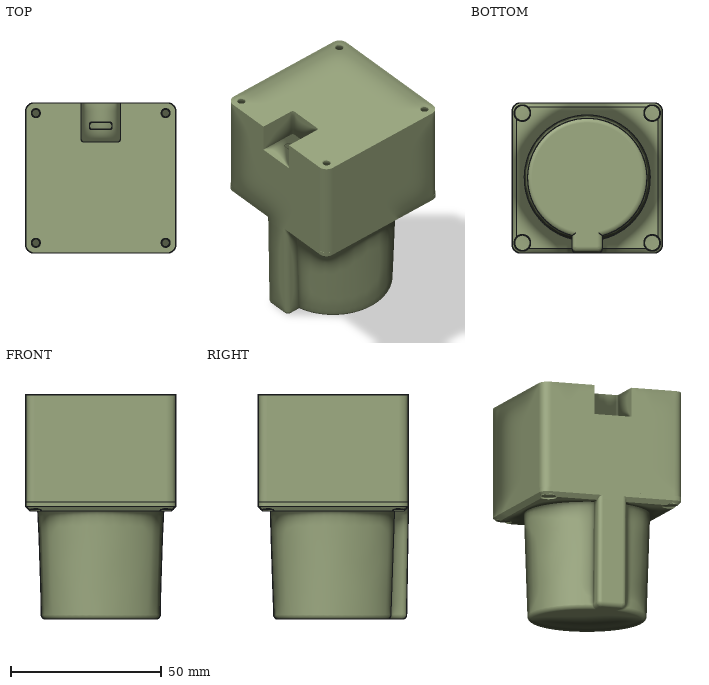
import cadquery as cq

WIDTH = 50.0
HEIGHT = 74.6

PLUG_LENGTH = 35.95
PLUG_TOP_RADIUS = 20.95
PLUG_BOTTOM_RADIUS = 19.8
PLUG_BOTTOM_FILLET = 1.5
PLATE_THICKNESS = 3.05
PLATE_CORNER_RADIUS = 2.8
PLATE_CHAMFER = 1.5

KEY_WIDTH = 10.0
KEY_TOP_REACH = WIDTH / 2
KEY_BOTTOM_REACH = 24.4
KEY_EDGE_RADIUS = 1.5

HOUSING_CORNER_RADIUS = 3.1

POCKET_WIDTH = 13.0
POCKET_LENGTH = 13.0
POCKET_DEPTH = 9.85
POCKET_CORNER_RADIUS = 0.75
SLOT_WIDTH = 7.6
SLOT_HEIGHT = 2.5
SLOT_CORNER_RADIUS = 0.9
SLOT_CENTER_Y = 17.3
CONNECTOR_CLEARANCE = 0.15
CONNECTOR_DEPTH = 4.5

SCREW_OFFSET = 21.55
SHANK_RADIUS = 1.3
SCREW_TIP_DEPTH = 4.5
SCREW_HOLE_CHAMFER = 0.2
COUNTERBORE_RADIUS = 2.75
COUNTERBORE_DEPTH = 2.0
HEAD_RADIUS = 2.5
HEAD_HEIGHT = 1.5

PLATE_BOTTOM = PLUG_LENGTH
PLATE_TOP = PLATE_BOTTOM + PLATE_THICKNESS
POCKET_FLOOR = HEIGHT - POCKET_DEPTH
HEAD_TOP = PLATE_BOTTOM + COUNTERBORE_DEPTH
SCREW_TIP = HEIGHT - SCREW_TIP_DEPTH

SCREW_POINTS = [(sx * SCREW_OFFSET, sy * SCREW_OFFSET) for sx in (-1, 1) for sy in (-1, 1)]


def cylinder(radius, bottom, top, x, y):
    """Upright cylinder between two heights."""
    return cq.Workplane("XY", origin=(x, y, bottom)).circle(radius).extrude(top - bottom)


def rounded_block(width, length, corner_radius, bottom, top, y=0):
    """Upright block centred on X = 0, with all four vertical edges rounded."""
    block = cq.Workplane("XY", origin=(0, y, bottom)).rect(width, length).extrude(top - bottom)
    return block.edges("|Z").fillet(corner_radius)


def connector_block(clearance, bottom):
    """Connector envelope up to the pocket floor, shrunk all round by the clearance."""
    return rounded_block(
        SLOT_WIDTH - 2 * clearance,
        SLOT_HEIGHT - 2 * clearance,
        SLOT_CORNER_RADIUS - clearance,
        bottom,
        POCKET_FLOOR,
        SLOT_CENTER_Y,
    )


def cable_pocket():
    """Pocket volume, open at the top and at the back."""
    center_y = (WIDTH - POCKET_LENGTH) / 2
    pocket = cq.Workplane("XY", origin=(0, center_y, POCKET_FLOOR))
    pocket = pocket.rect(POCKET_WIDTH, POCKET_LENGTH).extrude(POCKET_DEPTH)
    return pocket.edges("|Z and <Y").fillet(POCKET_CORNER_RADIUS)


def make_housing():
    body = rounded_block(WIDTH, WIDTH, HOUSING_CORNER_RADIUS, PLATE_TOP, HEIGHT)
    for x, y in SCREW_POINTS:
        body = body.cut(cylinder(SHANK_RADIUS, PLATE_TOP, HEIGHT, x, y))
    hole_rims = body.faces(">Z").edges("%CIRCLE").edges(cq.selectors.RadiusNthSelector(0))
    body = hole_rims.chamfer(SCREW_HOLE_CHAMFER)
    body = body.cut(cable_pocket())
    return body.cut(connector_block(0, POCKET_FLOOR - CONNECTOR_DEPTH))


def make_connector():
    """Connector standing on the floor of its slot, level with the pocket floor."""
    return connector_block(CONNECTOR_CLEARANCE, POCKET_FLOOR - CONNECTOR_DEPTH)


def make_key():
    """Rib with a sloping back face and rounded back edges, reaching into the plate."""
    root_height = PLATE_BOTTOM + PLATE_CHAMFER
    side = [
        (0, 0),
        (KEY_BOTTOM_REACH, 0),
        (KEY_TOP_REACH, PLUG_LENGTH),
        (KEY_TOP_REACH, root_height),
        (0, root_height),
    ]
    key = cq.Workplane("YZ", origin=(-KEY_WIDTH / 2, 0, 0)).polyline(side).close().extrude(KEY_WIDTH)
    sloping_face = key.faces(cq.selectors.NearestToPointSelector((0, KEY_TOP_REACH, PLUG_LENGTH / 2)))
    return sloping_face.edges("not |X").fillet(KEY_EDGE_RADIUS)


def make_plug():
    cone = cq.Workplane("XY").circle(PLUG_BOTTOM_RADIUS)
    cone = cone.workplane(offset=PLUG_LENGTH).circle(PLUG_TOP_RADIUS).loft(ruled=True)
    return cone.union(make_key()).faces("<Z").edges().fillet(PLUG_BOTTOM_FILLET)


def make_lid():
    plate = rounded_block(WIDTH, WIDTH, PLATE_CORNER_RADIUS, PLATE_BOTTOM, PLATE_TOP)
    body = plate.faces("<Z").edges().chamfer(PLATE_CHAMFER).union(make_plug())
    for x, y in SCREW_POINTS:
        body = body.cut(cylinder(COUNTERBORE_RADIUS, PLATE_BOTTOM, HEAD_TOP, x, y))
        body = body.cut(cylinder(SHANK_RADIUS, HEAD_TOP, PLATE_TOP, x, y))
    return body


def make_screw(x, y):
    head = cylinder(HEAD_RADIUS, HEAD_TOP - HEAD_HEIGHT, HEAD_TOP, x, y)
    return head.union(cylinder(SHANK_RADIUS, HEAD_TOP, SCREW_TIP, x, y))


housing = make_housing()
connector = make_connector()
lid = make_lid()
screws = [make_screw(x, y) for x, y in SCREW_POINTS]

result = cq.Compound.makeCompound(
    [housing.val(), connector.val(), lid.val(), *[screw.val() for screw in screws]]
)